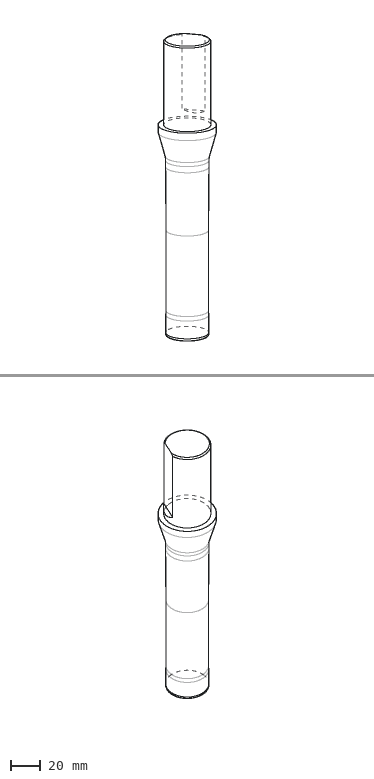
import cadquery as cq

cut_radius = 29.3 / 2
rim_clearance = 0.06
tip_top = 2.3
nose_middle = 1.3
face_radius = 13.0
face_height = 0.5

land_radius = cut_radius - rim_clearance
body_relief = 0.19
body_radius = cut_radius - body_relief
land_top = 14.8
body_bottom = 18.0
body_top = 74.8
neck_radius = 29.5 / 2
neck_bottom = 119.5
neck_top = 124.0
cone_bottom = 126.9
cone_bottom_radius = 30.0 / 2

collar_radius = 39.5 / 2
collar_bottom = 143.8
collar_top = 149.0
shank_radius = 32.0 / 2
shank_top = 209.0
shank_chamfer = 1.0

flat_offset = 13.8
flat_bottom = 155.5
runout_depth = shank_radius - flat_offset
runout_height = 2.7


def make_cutting_tip():
    """Shallow cone with a rounded nose, revolved about Z."""
    profile = (
        cq.Workplane("XZ")
        .moveTo(0, 0)
        .lineTo(face_radius, face_height)
        .threePointArc((cut_radius, nose_middle), (land_radius, tip_top))
        .lineTo(0, tip_top)
        .close()
    )
    return profile.revolve(360, (0, 0, 0), (0, 1, 0))


def make_shank_flat_cutter():
    """Prism that removes the flat and its sloping run-out."""
    return (
        cq.Workplane("YZ")
        .moveTo(flat_offset, shank_top)
        .lineTo(flat_offset, flat_bottom)
        .lineTo(flat_offset + runout_depth, flat_bottom - runout_height)
        .lineTo(collar_radius, flat_bottom - runout_height)
        .lineTo(collar_radius, shank_top)
        .close()
        .extrude(shank_radius, both=True)
    )


def make_holder():
    """Turned holder with a collar and a flatted shank."""
    profile = (
        cq.Workplane("XZ")
        .moveTo(0, tip_top)
        .lineTo(land_radius, tip_top)
        .lineTo(land_radius, land_top)
        .lineTo(body_radius, body_bottom)
        .lineTo(body_radius, body_top)
        .lineTo(neck_radius, neck_bottom)
        .lineTo(neck_radius, neck_top)
        .tangentArcPoint((cone_bottom_radius, cone_bottom), relative=False)
        .lineTo(collar_radius, collar_bottom)
        .lineTo(collar_radius, collar_top)
        .lineTo(shank_radius, collar_top)
        .lineTo(shank_radius, shank_top - shank_chamfer)
        .lineTo(shank_radius - shank_chamfer, shank_top)
        .lineTo(0, shank_top)
        .close()
    )
    turned = profile.revolve(360, (0, 0, 0), (0, 1, 0))
    return turned.cut(make_shank_flat_cutter())


cutting_tip = make_cutting_tip()
holder = make_holder()
result = cq.Compound.makeCompound([cutting_tip.val(), holder.val()])